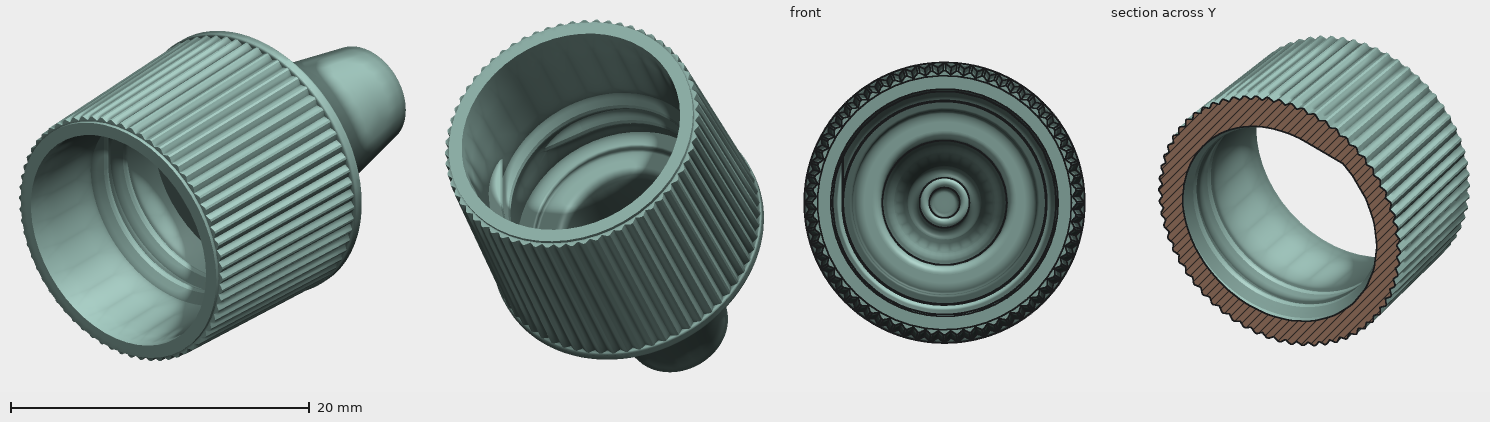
import cadquery as cq
import math

height = 26.17
flange_radius = 9.4

tip_radius = 3.45
tip_fillet = 0.4
neck_radius = 4.68
neck_y = 19.55
shoulder_arc_radius = 6.75

flange_bottom_y = 13.5
flange_bottom_fillet = 0.15
flange_top_fillet = 0.31

rim_radius = 8.5
rib_start_y = 0.25
rib_count = 64
rib_depth = 0.25
rib_crest_width = 0.15
rib_crest_radius_low = 8.85
rib_crest_radius_high = 9.32

bore_radius_rim = 7.62
bore_radius_top = 7.35
ledge_y = 12.55
step_radius = 6.18
step_fillet = 0.18
ceiling_y = ledge_y + 2 * step_fillet

hollow_wall = 1.33
hollow_mouth_radius = 4.25
hollow_bend_radius = 4.15
hollow_entry_fillet = 0.58
groove_outer_radius = 2.49

lip_outer_radius = 1.67
lip_height = 1.57
lip_inner_radius = 1.02
lip_recess_radius = 0.7
lip_recess_depth = 1.05

thread_pitch = 2.0
thread_turns = 1.8
thread_start_y = 7.0
thread_crest_radius = 6.78
thread_root_radius = 7.56
thread_crest_width = 0.47
thread_bevel_width = 0.2
thread_bevel_depth = 0.08
thread_flank_angle = 45.0
thread_runout = 3.3


def revolve_about_y(outline):
    return outline.close().revolve(360, (0, 0, 0), (0, 1, 0))


cone_angle = math.atan2(neck_radius - tip_radius, height - neck_y)
shoulder_center_x = neck_radius + shoulder_arc_radius * math.cos(cone_angle)
shoulder_center_y = neck_y + shoulder_arc_radius * math.sin(cone_angle)


def shoulder_point(angle, wall=0.0):
    """Point on the shoulder arc, or on the parallel arc one wall further inside."""
    radius = shoulder_arc_radius + wall
    return (shoulder_center_x - radius * math.cos(angle), shoulder_center_y - radius * math.sin(angle))


def make_outside():
    end_angle = math.acos((shoulder_center_x - flange_radius) / shoulder_arc_radius)
    flange_top = shoulder_point(end_angle)
    outline = (
        cq.Workplane("XY")
        .lineTo(rim_radius, 0)
        .lineTo(rim_radius, flange_bottom_y)
        .lineTo(flange_radius, flange_bottom_y)
        .lineTo(*flange_top)
        .threePointArc(shoulder_point((end_angle + cone_angle) / 2), (neck_radius, neck_y))
        .lineTo(tip_radius, height)
        .lineTo(0, height)
    )
    body = revolve_about_y(outline)

    def edges_at(y):
        slack = 0.03
        reach = flange_radius + slack
        return cq.selectors.BoxSelector((-reach, y - slack, -reach), (reach, y + slack, reach), boundingbox=True)

    body = body.edges(">Y").fillet(tip_fillet)
    body = body.edges(edges_at(flange_top[1])).fillet(flange_top_fillet)
    outermost = cq.selectors.RadiusNthSelector(-1)
    return body.edges(edges_at(flange_bottom_y)).edges(outermost).fillet(flange_bottom_fillet)


def make_ribs():
    def star(crest_radius):
        pitch_angle = 2 * math.pi / rib_count
        half_crest_angle = math.asin(rib_crest_width / 2 / crest_radius)
        valley_radius = crest_radius - rib_depth
        points = []
        for i in range(rib_count):
            middle = i * pitch_angle
            for radius, angle in (
                (crest_radius, middle - half_crest_angle),
                (crest_radius, middle + half_crest_angle),
                (valley_radius, middle + pitch_angle / 2),
            ):
                points.append((radius * math.cos(angle), radius * math.sin(angle)))
        return points

    return (
        cq.Workplane("XZ", origin=(0, rib_start_y, 0))
        .polyline(star(rib_crest_radius_low))
        .close()
        .workplane(offset=rib_start_y - flange_bottom_y)
        .polyline(star(rib_crest_radius_high))
        .close()
        .loft(ruled=True)
    )


def make_cavity():
    bend_angle = math.acos((shoulder_center_x - hollow_bend_radius) / (shoulder_arc_radius + hollow_wall))
    bend_start = shoulder_point(bend_angle, hollow_wall)
    bend_middle = shoulder_point((bend_angle + cone_angle) / 2, hollow_wall)
    bend_end = shoulder_point(cone_angle, hollow_wall)
    groove_y = bend_end[1] + (bend_end[0] - groove_outer_radius) / math.tan(cone_angle)
    lip_end_y = groove_y - lip_height
    lip_recess_y = lip_end_y + lip_recess_depth
    groove_round = (groove_outer_radius - lip_outer_radius) / 2
    groove_bottom = (lip_outer_radius + groove_round, groove_y + groove_round)
    recess_fillet = lip_inner_radius - lip_recess_radius
    lip_round = (lip_outer_radius - lip_inner_radius) / 2
    outline = (
        cq.Workplane("XY")
        .lineTo(bore_radius_rim, 0)
        .lineTo(bore_radius_top, ledge_y)
        .lineTo(step_radius + step_fillet, ledge_y)
        .tangentArcPoint((step_radius, ledge_y + step_fillet), relative=False)
        .tangentArcPoint((step_radius - step_fillet, ceiling_y), relative=False)
        .lineTo(hollow_mouth_radius + hollow_entry_fillet, ceiling_y)
        .tangentArcPoint((hollow_mouth_radius, ceiling_y + hollow_entry_fillet), relative=False)
        .lineTo(*bend_start)
        .threePointArc(bend_middle, bend_end)
        .lineTo(groove_outer_radius, groove_y)
        .threePointArc(groove_bottom, (lip_outer_radius, groove_y))
        .lineTo(lip_outer_radius, lip_end_y + lip_round)
        .threePointArc((lip_outer_radius - lip_round, lip_end_y), (lip_inner_radius, lip_end_y + lip_round))
        .lineTo(lip_inner_radius, lip_recess_y - recess_fillet)
        .tangentArcPoint((lip_recess_radius, lip_recess_y), relative=False)
        .lineTo(0, lip_recess_y)
    )
    return revolve_about_y(outline)


def make_thread():
    half_crest = thread_crest_width / 2
    corner_radius = thread_crest_radius + thread_bevel_depth
    half_root = half_crest + (thread_root_radius - corner_radius) * math.tan(math.radians(thread_flank_angle))
    section = [
        (thread_root_radius, -half_root),
        (corner_radius, -half_crest),
        (thread_crest_radius, thread_bevel_width - half_crest),
        (thread_crest_radius, half_crest - thread_bevel_width),
        (corner_radius, half_crest),
        (thread_root_radius, half_root),
    ]
    rise = thread_pitch * thread_turns
    helix = cq.Wire.makeHelix(thread_pitch, rise, thread_crest_radius, lefthand=True)
    tooth = cq.Workplane("XZ").polyline(section).close().sweep(cq.Workplane(helix), isFrenet=True)

    runout = cq.Workplane("XZ").polyline(section).close().extrude(thread_runout)
    first_runout = runout.mirror("XZ")
    last_runout = runout.rotate((0, 0, 0), (0, 0, 1), -360 * thread_turns).translate((0, 0, rise))
    thread = tooth.union(first_runout).union(last_runout)
    thread = thread.rotate((0, 0, 0), (0, 0, 1), 180)
    return thread.rotate((0, 0, 0), (1, 0, 0), -90).translate((0, thread_start_y, 0))


result = make_outside().union(make_ribs()).cut(make_cavity()).union(make_thread())